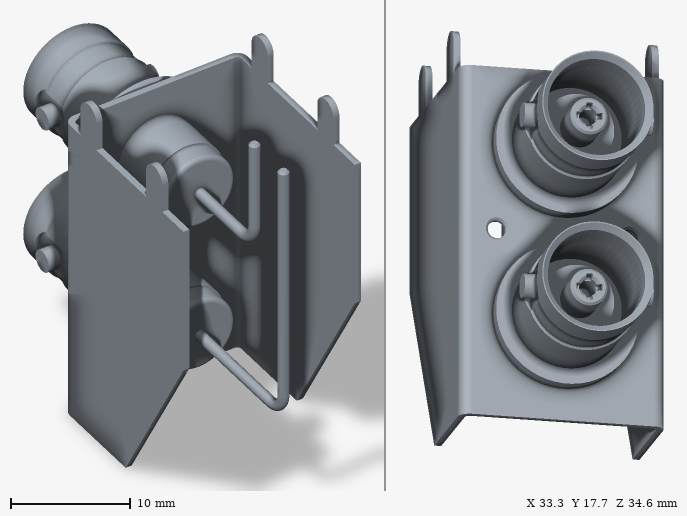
import cadquery as cq
import math


SHEET = 0.6
BRACKET_WIDTH = 17.7
BRACKET_HEIGHT = 30.6
BRACKET_DEPTH = 18.55
BOTTOM_DEPTH = 9.6
SLOPE_TOP = 16.0
BEND_RADIUS = 1.0

OVERALL_HEIGHT = 34.6
TAB_WIDTH = 2.5
TAB_COUNT = 2
TAB_SPACING = 10.16
FIRST_TAB_X = 3.85
TAB_OVERLAP = 0.5

LOWER_AXIS_Z = 8.9
CONNECTOR_SPACING = 15.0
UPPER_AXIS_Z = LOWER_AXIS_Z + CONNECTOR_SPACING

PANEL_HOLE_DIAMETER = 1.55
PANEL_HOLE_CHAMFER = 0.2
PANEL_HOLE_SPACING = 11.4
PANEL_HOLE_Z = LOWER_AXIS_Z + CONNECTOR_SPACING / 2

FRONT_X = -12.5
SHELL_RADIUS = 4.8
FLANGE_RADIUS = 6.15
FLANGE_THICKNESS = 1.5
GROOVE_RADIUS = 4.6
GROOVE_FRONT_X = -9.85
GROOVE_BACK_X = -6.9
GROOVE_FRONT_TAPER = 0.25
GROOVE_BACK_TAPER = 0.15

SOCKET_RADIUS = 4.2
MOUTH_CHAMFER = 0.5
SOCKET_DEPTH = 9.0
INSULATOR_RADIUS = 3.08
INSULATOR_DEPTH = 7.0
CONTACT_RADIUS = 1.6
CONTACT_CHAMFER = 0.2
CONTACT_DEPTH = 3.0
CONTACT_BORE_RADIUS = 0.73
CONTACT_BORE_CHAMFER = 0.25
CONTACT_BORE_DEPTH = 3.0
CONTACT_SLOT_WIDTH = 0.55
CONTACT_SLOT_LENGTH = 2.25
CONTACT_SLOT_DEPTH = 0.8

LUG_X = -8.4
LUG_RADIUS = 1.03
LUG_SPAN = 11.1
SPOT_RADIUS = 2.25
SPOT_FACE_Y = 4.35

BODY_RADIUS = 3.67
BODY_END_X = 5.35
CAP_RADIUS = 3.52
CAP_END_X = 7.35
CAP_FILLET = 0.4

PIN_RADIUS = 0.5
PIN_BEND_RADIUS = 2.0
PIN_TIP_CHAMFER = 0.2
LOWER_PIN_X = 20.3
UPPER_PIN_X = 15.8


def cylinder_x(radius, x_start, x_end, axis_z):
    """Cylinder along X, centred on Y = 0 at the given height."""
    profile = cq.Workplane("YZ", origin=(x_start, 0, axis_z)).circle(radius)
    return profile.extrude(x_end - x_start)


def make_rounded_block(front_x, width, radius):
    """Full-height block whose two front vertical edges are rounded."""
    return (
        cq.Workplane("XY", origin=(front_x, 0, 0))
        .box(BRACKET_DEPTH, width, OVERALL_HEIGHT, centered=(False, True, False))
        .edges("|Z and <X")
        .fillet(radius)
    )


def make_bracket():
    """U-shaped sheet trimmed to the side outline with its tabs."""
    outside = make_rounded_block(0, BRACKET_WIDTH, BEND_RADIUS)
    inside = make_rounded_block(SHEET, BRACKET_WIDTH - 2 * SHEET, BEND_RADIUS - SHEET)
    side_profile = (
        cq.Workplane("XZ", origin=(0, BRACKET_WIDTH / 2, 0))
        .polyline(
            [
                (0, 0),
                (BOTTOM_DEPTH, 0),
                (BRACKET_DEPTH, SLOPE_TOP),
                (BRACKET_DEPTH, BRACKET_HEIGHT),
                (0, BRACKET_HEIGHT),
            ]
        )
        .close()
        .extrude(BRACKET_WIDTH)
    )
    for index in range(TAB_COUNT):
        side_profile = side_profile.union(make_tab(FIRST_TAB_X + index * TAB_SPACING))
    return outside.cut(inside).intersect(side_profile)


def make_tab(center_x):
    """Round-topped tab outline, extruded across the full bracket width."""
    radius = TAB_WIDTH / 2
    return (
        cq.Workplane("XZ", origin=(center_x, BRACKET_WIDTH / 2, 0))
        .moveTo(-radius, BRACKET_HEIGHT - TAB_OVERLAP)
        .lineTo(radius, BRACKET_HEIGHT - TAB_OVERLAP)
        .lineTo(radius, OVERALL_HEIGHT - radius)
        .threePointArc((0, OVERALL_HEIGHT), (-radius, OVERALL_HEIGHT - radius))
        .close()
        .extrude(BRACKET_WIDTH)
    )


def drill_panel_holes(bracket):
    """Two through holes in the front panel, chamfered on the outer face."""
    for center_y in (-PANEL_HOLE_SPACING / 2, PANEL_HOLE_SPACING / 2):
        bracket = bracket.cut(make_panel_hole(center_y))
    return bracket


def make_panel_hole(center_y):
    """Shape removed by one hole: a cylinder with a cone at the outer face."""
    radius = PANEL_HOLE_DIAMETER / 2
    cone = (
        cq.Workplane("YZ", origin=(0, center_y, PANEL_HOLE_Z))
        .circle(radius + PANEL_HOLE_CHAMFER)
        .workplane(offset=PANEL_HOLE_CHAMFER)
        .circle(radius)
        .loft()
    )
    hole = cq.Workplane("YZ", origin=(0, center_y, PANEL_HOLE_Z)).circle(radius).extrude(SHEET)
    return hole.union(cone)


def make_turned_body(axis_z):
    """Shell, flange and rear body, revolved about the connector axis."""
    outline = [
        (FRONT_X, 0),
        (FRONT_X, SHELL_RADIUS),
        (GROOVE_FRONT_X, SHELL_RADIUS),
        (GROOVE_FRONT_X + GROOVE_FRONT_TAPER, GROOVE_RADIUS),
        (GROOVE_BACK_X - GROOVE_BACK_TAPER, GROOVE_RADIUS),
        (GROOVE_BACK_X, SHELL_RADIUS),
        (-FLANGE_THICKNESS, SHELL_RADIUS),
        (-FLANGE_THICKNESS, FLANGE_RADIUS),
        (0, FLANGE_RADIUS),
        (0, BODY_RADIUS),
        (BODY_END_X, BODY_RADIUS),
        (BODY_END_X, CAP_RADIUS),
        (CAP_END_X, CAP_RADIUS),
        (CAP_END_X, 0),
    ]
    body = (
        cq.Workplane("XZ", origin=(0, 0, axis_z))
        .polyline(outline)
        .close()
        .revolve(360, (0, 0, 0), (1, 0, 0))
    )
    return body.faces(">X").edges().fillet(CAP_FILLET)


def make_contact(axis_z):
    """Centre contact with a chamfered bore and two crossed slots in its face."""
    front_x = FRONT_X + CONTACT_DEPTH
    contact = cylinder_x(CONTACT_RADIUS, front_x, FRONT_X + SOCKET_DEPTH, axis_z)
    contact = contact.faces("<X").edges().chamfer(CONTACT_CHAMFER)
    contact = contact.cut(cylinder_x(CONTACT_BORE_RADIUS, front_x, front_x + CONTACT_BORE_DEPTH, axis_z))
    bore_rim = contact.faces("<X").edges(cq.selectors.RadiusNthSelector(0))
    contact = bore_rim.chamfer(CONTACT_BORE_CHAMFER)
    for slot_angle in (0, 90):
        slot = (
            cq.Workplane("YZ", origin=(front_x, 0, axis_z))
            .transformed(rotate=(0, 0, slot_angle))
            .rect(CONTACT_SLOT_LENGTH, CONTACT_SLOT_WIDTH)
            .extrude(CONTACT_SLOT_DEPTH)
        )
        contact = contact.cut(slot)
    return contact


def make_socket(axis_z):
    """Space inside the shell, around the insulator and the centre contact."""
    cavity = cylinder_x(SOCKET_RADIUS, FRONT_X, FRONT_X + SOCKET_DEPTH, axis_z)
    insulator = cylinder_x(INSULATOR_RADIUS, FRONT_X + INSULATOR_DEPTH, FRONT_X + SOCKET_DEPTH, axis_z)
    contact = make_contact(axis_z)
    mouth = (
        cq.Workplane("YZ", origin=(FRONT_X, 0, axis_z))
        .circle(SOCKET_RADIUS + MOUTH_CHAMFER)
        .workplane(offset=MOUTH_CHAMFER)
        .circle(SOCKET_RADIUS)
        .loft()
    )
    return cavity.cut(insulator).cut(contact).union(mouth)


def add_lug(connector, axis_z, side):
    """Spot-face one side (+1 or -1 in Y) of the shell and add its lug."""
    spot = (
        cq.Workplane("XZ", origin=(LUG_X, side * SPOT_FACE_Y, axis_z))
        .circle(SPOT_RADIUS)
        .extrude(-side * (LUG_SPAN / 2 - SPOT_FACE_Y))
    )
    lug = (
        cq.Workplane("XZ", origin=(LUG_X, side * SOCKET_RADIUS, axis_z))
        .circle(LUG_RADIUS)
        .extrude(-side * (LUG_SPAN / 2 - SOCKET_RADIUS))
    )
    return connector.cut(spot).union(lug)


def make_pin(pin_x, axis_z):
    """Round pin leaving the rear cap along X and bending up to Z."""
    bend_start_x = pin_x - PIN_BEND_RADIUS
    bend_end_z = axis_z + PIN_BEND_RADIUS
    bend_offset = PIN_BEND_RADIUS * (1 - math.sqrt(0.5))
    bend_middle = (pin_x - bend_offset, axis_z + bend_offset)
    path = (
        cq.Workplane("XZ")
        .moveTo(BODY_END_X, axis_z)
        .lineTo(bend_start_x, axis_z)
        .threePointArc(bend_middle, (pin_x, bend_end_z))
        .lineTo(pin_x, OVERALL_HEIGHT)
    )
    section = cq.Workplane("YZ", origin=(BODY_END_X, 0, axis_z)).circle(PIN_RADIUS)
    return section.sweep(path).faces(">Z").edges().chamfer(PIN_TIP_CHAMFER)


def make_connector(axis_z, pin_x):
    """Complete connector with its lugs, socket and pin."""
    connector = make_turned_body(axis_z)
    for side in (-1, 1):
        connector = add_lug(connector, axis_z, side)
    return connector.cut(make_socket(axis_z)).union(make_pin(pin_x, axis_z))


bracket = drill_panel_holes(make_bracket())
lower_connector = make_connector(LOWER_AXIS_Z, LOWER_PIN_X)
upper_connector = make_connector(UPPER_AXIS_Z, UPPER_PIN_X)

result = bracket.union(lower_connector).union(upper_connector)